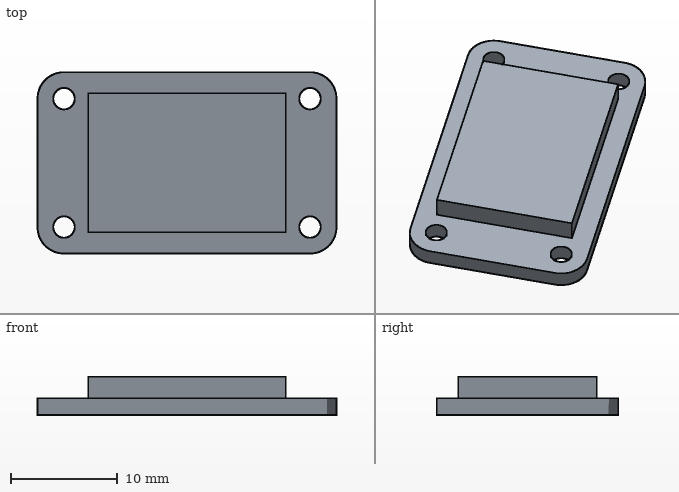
import cadquery as cq

plate_length = 28.0
plate_width = 17.0
plate_thickness = 1.6
corner_radius = 2.5

hole_diameter = 2.0
hole_spacing_x = plate_length - 2 * corner_radius
hole_spacing_y = plate_width - 2 * corner_radius

block_length = 18.5
block_width = 13.0
total_height = 3.6
block_height = total_height - plate_thickness


def make_plate():
    """Rounded plate resting on Z = 0 with a through hole at each corner."""
    plate = cq.Workplane("XY").rect(plate_length, plate_width).extrude(plate_thickness)
    plate = plate.edges("|Z").fillet(corner_radius)
    return (
        plate.faces(">Z")
        .workplane()
        .rect(hole_spacing_x, hole_spacing_y, forConstruction=True)
        .vertices()
        .hole(hole_diameter)
    )


def make_block():
    """Plain block standing on the top face of the plate."""
    return (
        cq.Workplane("XY")
        .workplane(offset=plate_thickness)
        .rect(block_length, block_width)
        .extrude(block_height)
    )


result = make_plate().union(make_block())